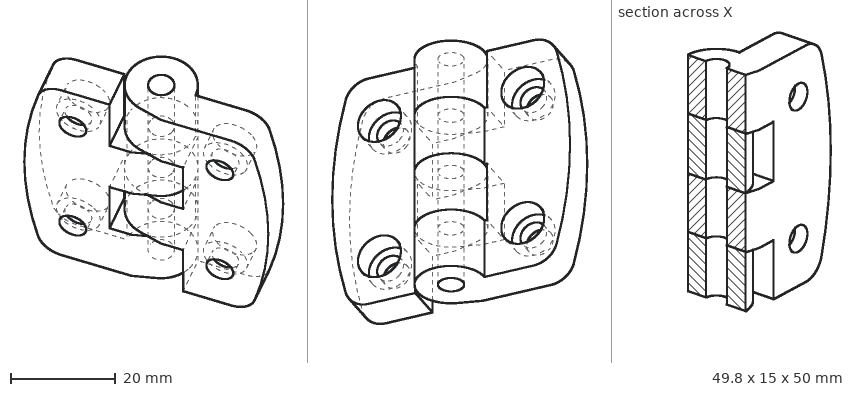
import cadquery as cq
import math


height = 50.0
half_width = 24.9
leaf_thickness = 8.0

side_radius = 82.5
corner_radius = 5.0

knuckle_radius = 7.0
pin_hole_diameter = 5.0
relief_angle = 14.4
slot_reach = 7.5
knuckle_count = 4
knuckle_height = height / knuckle_count

mount_offset = 15.0
mount_diameter = 5.5
pocket_diameter = 9.0
pocket_depth = 5.0


def leaf_plate():
    """Right-hand plate from the end wall of the slots out to the bowed side."""
    side_center_x = half_width - side_radius
    corner_z = height / 2 - corner_radius
    corner_x = side_center_x + math.sqrt((side_radius - corner_radius) ** 2 - corner_z ** 2)

    side_angle = math.asin(corner_z / (side_radius - corner_radius))
    side_end_x = side_center_x + side_radius * math.cos(side_angle)
    side_end_z = side_radius * math.sin(side_angle)

    middle_angle = (side_angle + math.pi / 2) / 2
    middle_x = corner_x + corner_radius * math.cos(middle_angle)
    middle_z = corner_z + corner_radius * math.sin(middle_angle)

    return (
        cq.Workplane("XZ")
        .moveTo(slot_reach, -height / 2)
        .lineTo(corner_x, -height / 2)
        .threePointArc((middle_x, -middle_z), (side_end_x, -side_end_z))
        .threePointArc((half_width, 0), (side_end_x, side_end_z))
        .threePointArc((middle_x, middle_z), (corner_x, height / 2))
        .lineTo(slot_reach, height / 2)
        .close()
        .extrude(leaf_thickness)
    )


def knuckle(bottom_z):
    """One knuckle of the right-hand leaf, joined to the plate at the slot end wall."""
    angle = math.radians(relief_angle)
    tangent_x = -knuckle_radius * math.sin(angle)
    tangent_y = -knuckle_radius * math.cos(angle)
    relief_end_x = tangent_x + (leaf_thickness + tangent_y) / math.tan(angle)

    middle_angle = (math.pi + math.pi / 2 - angle) / 2
    middle_x = knuckle_radius * math.cos(middle_angle)
    middle_y = knuckle_radius * math.sin(middle_angle)

    return (
        cq.Workplane("XY", origin=(0, 0, bottom_z))
        .moveTo(knuckle_radius, 0)
        .threePointArc((middle_x, middle_y), (tangent_x, tangent_y))
        .lineTo(relief_end_x, -leaf_thickness)
        .lineTo(slot_reach, -leaf_thickness)
        .lineTo(slot_reach, 0)
        .close()
        .extrude(knuckle_height)
    )


def pin_hole():
    """Cutter for the pin hole through every knuckle."""
    return cq.Workplane("XY", origin=(0, 0, -height / 2)).circle(pin_hole_diameter / 2).extrude(height)


def mounting_holes():
    """Cutter for the two mounting bores and their round pockets."""
    centers = [(mount_offset, -mount_offset), (mount_offset, mount_offset)]
    bores = cq.Workplane("XZ").pushPoints(centers).circle(mount_diameter / 2).extrude(leaf_thickness)
    pockets = (
        cq.Workplane("XZ")
        .pushPoints(centers)
        .circle(pocket_diameter / 2)
        .extrude(pocket_depth)
    )
    return bores.union(pockets)


def right_leaf():
    """Leaf on the +X side, whose knuckles are the second and fourth from the bottom."""
    leaf = leaf_plate()
    for index in range(1, knuckle_count, 2):
        leaf = leaf.union(knuckle(-height / 2 + index * knuckle_height))
    return leaf.cut(pin_hole()).cut(mounting_holes())


def left_leaf():
    """The same leaf turned half a turn about Y, so its knuckles fill the other slots."""
    return right_leaf().rotate((0, 0, 0), (0, 1, 0), 180)


result = cq.Compound.makeCompound([right_leaf().val(), left_leaf().val()])